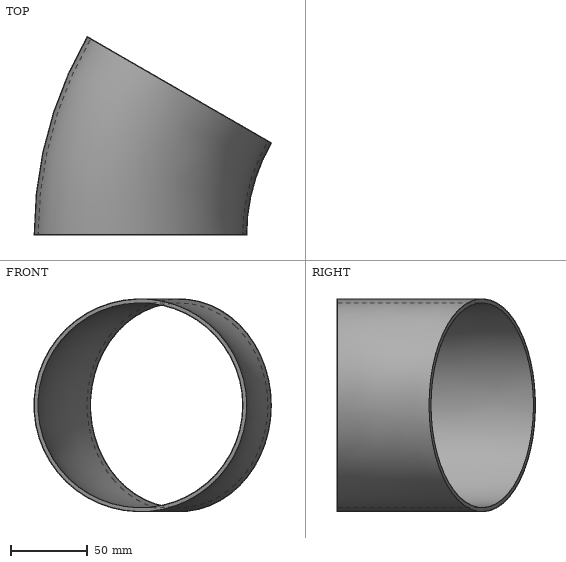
import cadquery as cq
import math

overall_width = 155.9
bend_radius = 190.5
bend_angle = 30.0
wall = 2.6

bend_cosine = math.cos(math.radians(bend_angle))
outer_radius = (overall_width - bend_radius * (1 - bend_cosine)) / (1 + bend_cosine)
inner_radius = outer_radius - wall

inlet_ring = cq.Workplane("XZ").circle(outer_radius).circle(inner_radius)
axis_start = (bend_radius, 0)
axis_end = (bend_radius, -1)

result = inlet_ring.revolve(bend_angle, axis_start, axis_end)